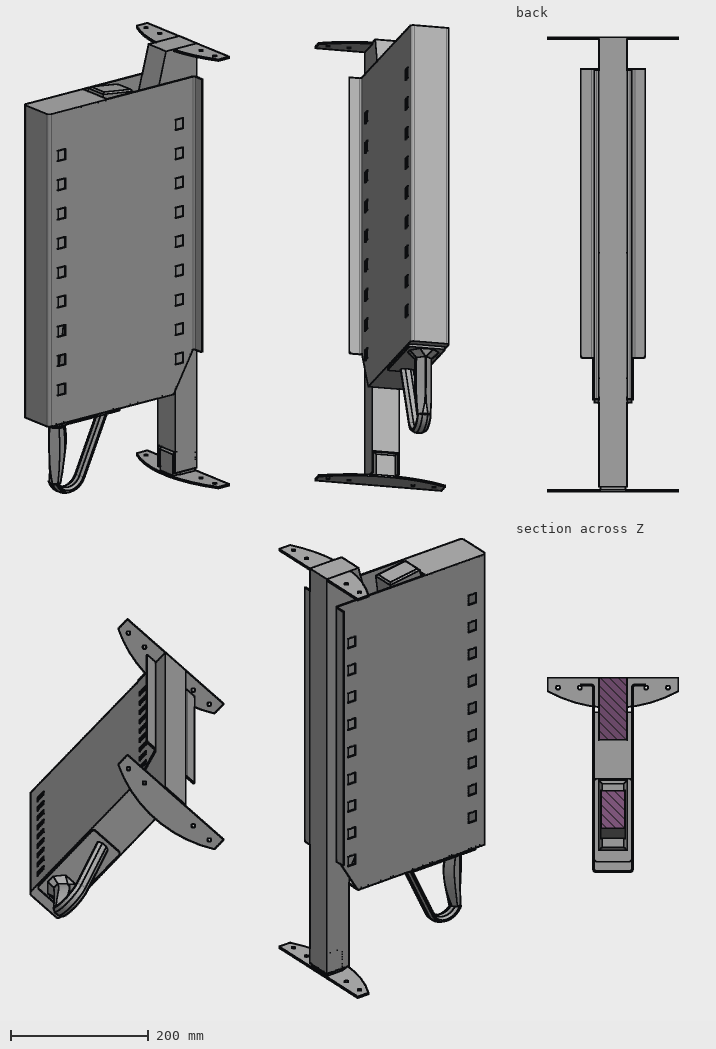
import cadquery as cq
import math

HEIGHT = 660.0
DEPTH = 282.5
SHEET = 2.0
BEND_RADIUS = 4.5

PLATE_WIDTH = 190.0
PLATE_DEPTH = 44.0
PLATE_END_DEPTH = 20.0
PLATE_THICKNESS = 2.5
PLATE_HOLE_DIAMETER = 5.5
PLATE_HOLE_XS = (-80.0, -48.0, 48.0, 80.0)
PLATE_HOLE_Y = -14.5

POST_WIDTH = 41.0
POST_DEPTH = 40.0
POST_BOTTOM = 7.0
POST_WALL = 2.0
POST_RISE = 0.1
GUSSET_TOP_DEPTH = 57.5
GUSSET_TIP_DEPTH = 141.0
GUSSET_BOTTOM = 165.0
GUSSET_ANGLE = 15.0

PLUG_TOP = 39.5
PLUG_TOP_CHAMFER = 4.5
PLUG_SIDE_BEVEL = 4.0
PLUG_SIDE_BEVEL_DEPTH = 11.0

HOUSING_WIDTH = 58.0
HOUSING_BOTTOM = 133.0
HOUSING_TOP = 614.0
HOUSING_BACK = 10.0
FLANGE_WIDTH = 94.0
FLANGE_BOTTOM = 194.0
FLANGE_CORNER_RADIUS = 3.0
FLOOR_BACK = 50.0
ROOF_BACK = 173.0
WINDOW_DEPTH = 14.0
WINDOW_HEIGHT = 16.0
WINDOW_DISTANCES = (39.0, 258.0)
WINDOW_COUNT = 9
LOWEST_WINDOW = 186.0
HIGHEST_WINDOW = 546.5

BASE_WIDTH = 54.0
BASE_BACK = 146.5
BASE_FRONT = 267.0
BASE_BOTTOM = 129.5
BASE_TOP = HOUSING_BOTTOM + SHEET
BASE_CORNER_RADIUS = 4.0
CASE_WIDTH = 35.0
CASE_THICKNESS = 55.0
CASE_TOP_FRONT = 171.0
CASE_TOP = 620.5
CASE_ANGLE = GUSSET_ANGLE / 2
CASE_CHAMFER = 2.5
COLLAR_WIDTH = 41.0
COLLAR_BACK = 149.0
COLLAR_FRONT = 251.0
COLLAR_TOP = 148.5
COLLAR_TAPER = 20.0

SIDE_FACET_RATIO = 0.3
STRAP_WIDTH = 19.0
STRAP_THICKNESS = 8.5
STRAP_FACET = 8.0
STRAP_TOP_DISTANCE = 156.5
STRAP_BEND_DISTANCE = 201.0
STRAP_END_DISTANCE = 251.0
STRAP_BEND_Z = 33.5
GRIP_WIDTH = 22.5
RIDGE_FACET = 1.0
GRIP_DISTANCE = 244.0
GRIP_TOP = 119.5
GRIP_TOP_THICKNESS = 28.0
GRIP_BULGE_DISTANCE = 243.0
GRIP_BULGE_Z = 96.0
GRIP_BULGE_THICKNESS = 32.0
GRIP_LOWER_DISTANCE = 245.0
GRIP_LOWER_Z = 57.5
GRIP_LOWER_THICKNESS = 24.5
GRIP_END_DISTANCE = 247.5
GRIP_END_THICKNESS = 16.0
FLARE_WIDTH = 43.5
FLARE_THICKNESS = 38.0
FLARE_FACET = 20.0


def mounting_plate(bottom):
    """Flat plate with a straight rear edge, a bowed front edge and four screw holes."""
    half = PLATE_WIDTH / 2
    return (
        cq.Workplane("XY").workplane(offset=bottom)
        .moveTo(-half, 0)
        .lineTo(-half, -PLATE_END_DEPTH)
        .threePointArc((0, -PLATE_DEPTH), (half, -PLATE_END_DEPTH))
        .lineTo(half, 0)
        .close()
        .extrude(PLATE_THICKNESS)
        .pushPoints([(x, PLATE_HOLE_Y) for x in PLATE_HOLE_XS])
        .circle(PLATE_HOLE_DIAMETER / 2)
        .cutThruAll()
    )


def side_profile(width):
    """A workplane seen from +X, (y, z), whose extrusions are centred on X = 0."""
    return cq.Workplane("YZ").workplane(offset=-width / 2)


def foot_plug():
    """Block that fits the socket of the post, with bevelled front edges."""
    half = POST_WIDTH / 2 - POST_WALL
    bevel_start = -(POST_DEPTH - PLUG_SIDE_BEVEL_DEPTH)
    front_half = half - PLUG_SIDE_BEVEL
    return (
        cq.Workplane("XY").workplane(offset=PLATE_THICKNESS)
        .polyline([
            (-half, -POST_WALL),
            (-half, bevel_start),
            (-front_half, -POST_DEPTH),
            (front_half, -POST_DEPTH),
            (half, bevel_start),
            (half, -POST_WALL),
        ])
        .close()
        .extrude(PLUG_TOP - PLATE_THICKNESS)
        .faces("<Y").edges(">Z").chamfer(PLUG_TOP_CHAMFER)
    )


def build_foot():
    """Floor plate with its plug."""
    return mounting_plate(0).union(foot_plug())


def build_post():
    """Column with a front gusset, an open socket at its lower end and a top plate."""
    gusset_slope = math.tan(math.radians(GUSSET_ANGLE))
    tip_z = HEIGHT - (GUSSET_TIP_DEPTH - GUSSET_TOP_DEPTH) / gusset_slope
    column = (
        side_profile(POST_WIDTH)
        .polyline([
            (0, POST_BOTTOM),
            (0, HEIGHT),
            (-GUSSET_TOP_DEPTH, HEIGHT),
            (-GUSSET_TIP_DEPTH, tip_z),
            (-POST_DEPTH, GUSSET_BOTTOM),
            (-POST_DEPTH, POST_BOTTOM),
        ])
        .close()
        .extrude(POST_WIDTH)
    )
    socket = cq.Workplane("XY").box(
        POST_WIDTH - 2 * POST_WALL, POST_DEPTH - POST_WALL, PLUG_TOP, centered=(True, False, False)
    ).translate((0, -POST_DEPTH, 0))
    return column.cut(socket).union(mounting_plate(HEIGHT - POST_RISE - PLATE_THICKNESS))


def base_plate_block(bottom, top):
    """Outline of the base plate between two heights."""
    length = BASE_FRONT - BASE_BACK
    return (
        cq.Workplane("XY")
        .box(BASE_WIDTH, length, top - bottom, centered=(True, False, False))
        .edges("|Z").fillet(BASE_CORNER_RADIUS)
        .translate((0, -BASE_FRONT, bottom))
    )


def housing_wrapper():
    """Bent sheet: front wall, two side walls and two rear flanges, before trimming."""
    outer = HOUSING_WIDTH / 2
    inner = outer - SHEET
    flange = FLANGE_WIDTH / 2
    flange_front = -(HOUSING_BACK + SHEET)
    right_half = [
        (inner, -(DEPTH - SHEET)),
        (inner, -HOUSING_BACK),
        (flange, -HOUSING_BACK),
        (flange, flange_front),
        (outer, flange_front),
        (outer, -DEPTH),
    ]
    left_half = [(-x, y) for x, y in reversed(right_half)]
    sheet = (
        cq.Workplane("XY").workplane(offset=HOUSING_BOTTOM)
        .polyline(right_half + left_half).close()
        .extrude(HOUSING_TOP - HOUSING_BOTTOM)
    )
    middle = (HOUSING_BOTTOM + HOUSING_TOP) / 2
    bends = (
        (outer, -DEPTH, BEND_RADIUS),
        (inner, -(DEPTH - SHEET), BEND_RADIUS - SHEET),
        (outer, flange_front, BEND_RADIUS - SHEET),
        (inner, -HOUSING_BACK, BEND_RADIUS),
    )
    for x, y, radius in bends:
        for side in (-1, 1):
            edge = cq.selectors.NearestToPointSelector((side * x, y, middle))
            sheet = sheet.edges(edge).fillet(radius)
    return sheet


def lower_rear_trim():
    """Material removed below the flanges, up to the slanted lower edge of the side walls."""
    bend_front = -(HOUSING_BACK + BEND_RADIUS)
    return (
        side_profile(PLATE_WIDTH)
        .polyline([
            (0, HOUSING_BOTTOM),
            (0, FLANGE_BOTTOM),
            (bend_front, FLANGE_BOTTOM),
            (-FLOOR_BACK, HOUSING_BOTTOM),
        ])
        .close()
        .extrude(PLATE_WIDTH)
    )


def housing_cover(back, bottom):
    """Flat sheet between the side walls, from the front wall to a distance from the rear plane."""
    front = DEPTH - SHEET
    return (
        cq.Workplane("XY")
        .box(HOUSING_WIDTH - 2 * SHEET, front - back, SHEET, centered=(True, False, False))
        .edges("|Z and <Y").fillet(BEND_RADIUS - SHEET)
        .translate((0, -front, bottom))
    )


def housing_windows():
    """Two columns of rectangular windows through both side walls."""
    pitch = (HIGHEST_WINDOW - LOWEST_WINDOW) / (WINDOW_COUNT - 1)
    return (
        side_profile(HOUSING_WIDTH)
        .pushPoints([
            (-distance, LOWEST_WINDOW + row * pitch)
            for distance in WINDOW_DISTANCES
            for row in range(WINDOW_COUNT)
        ])
        .rect(WINDOW_DEPTH, WINDOW_HEIGHT)
        .extrude(HOUSING_WIDTH)
    )


def build_housing():
    """Sheet metal housing with its floor, partial roof and windows."""
    wrapper = housing_wrapper().cut(lower_rear_trim())
    flange_corners = cq.selectors.BoxSelector(
        (-FLANGE_WIDTH, -HOUSING_BACK - SHEET, FLANGE_BOTTOM - SHEET),
        (FLANGE_WIDTH, -HOUSING_BACK, FLANGE_BOTTOM + SHEET),
    )
    wrapper = wrapper.edges("|Y").edges(flange_corners).edges("<X or >X").fillet(FLANGE_CORNER_RADIUS)
    floor = housing_cover(FLOOR_BACK, HOUSING_BOTTOM)
    roof = housing_cover(ROOF_BACK, HOUSING_TOP - SHEET)
    base_opening = base_plate_block(HOUSING_BOTTOM, BASE_TOP)
    return wrapper.union(floor.cut(base_opening)).union(roof).cut(housing_windows())


def inclined_case():
    """Slim box whose axis leans forward on the way down to the base plate."""
    length = (CASE_TOP - BASE_BOTTOM) / math.cos(math.radians(CASE_ANGLE)) + CASE_THICKNESS
    box = (
        cq.Workplane("XY")
        .box(CASE_WIDTH, CASE_THICKNESS, length, centered=(True, False, False))
        .translate((0, 0, -length))
        .faces(">Z").edges().chamfer(CASE_CHAMFER)
        .rotate((0, 0, 0), (1, 0, 0), -CASE_ANGLE)
        .translate((0, -CASE_TOP_FRONT, CASE_TOP))
    )
    room_above_base = cq.Workplane("XY").box(
        HOUSING_WIDTH, 2 * DEPTH, HEIGHT, centered=(True, True, False)
    ).translate((0, 0, BASE_TOP))
    return box.intersect(room_above_base)


def case_collar():
    """Tapered collar round the lower end of the case, standing on the base plate."""
    return (
        cq.Workplane("XY").workplane(offset=BASE_TOP)
        .center(0, -(COLLAR_BACK + COLLAR_FRONT) / 2)
        .rect(COLLAR_WIDTH, COLLAR_FRONT - COLLAR_BACK)
        .extrude(COLLAR_TOP - BASE_TOP, taper=COLLAR_TAPER)
    )


def bevelled_section(width, thickness, facet):
    """Corner points of an octagon: flat facets front and rear, narrower than the full width."""
    half_width = width / 2
    half_facet = facet / 2
    half_side = thickness * SIDE_FACET_RATIO / 2
    half_thickness = thickness / 2
    front_and_right = [
        (-half_facet, -half_thickness),
        (half_facet, -half_thickness),
        (half_width, -half_side),
        (half_width, half_side),
    ]
    return front_and_right + [(-x, -y) for x, y in front_and_right]


def handle_section(distance, z, width, thickness, facet):
    """Horizontal octagonal wire of the handle, centred at a distance from the rear plane."""
    points = [(x, y - distance, z) for x, y in bevelled_section(width, thickness, facet)]
    return cq.Wire.makePolygon([cq.Vector(*point) for point in points], close=True)


def strap():
    """Flat bar that runs down from the base plate and hooks round to the lower end of the grip."""
    start = (-STRAP_TOP_DISTANCE, BASE_BOTTOM)
    bend = (-STRAP_BEND_DISTANCE, STRAP_BEND_Z)
    end = (-STRAP_END_DISTANCE, STRAP_BEND_Z)
    path = cq.Workplane("YZ").moveTo(*start).lineTo(*bend).tangentArcPoint(end, relative=False)
    direction = (0, bend[0] - start[0], bend[1] - start[1])
    section_plane = cq.Plane(origin=(0, *start), xDir=(1, 0, 0), normal=direction)
    return (
        cq.Workplane(section_plane)
        .polyline(bevelled_section(STRAP_WIDTH, STRAP_THICKNESS, STRAP_FACET)).close()
        .sweep(path)
    )


def grip():
    """Bulged grip that narrows downward into the strap."""
    sections = [
        handle_section(GRIP_DISTANCE, GRIP_TOP, GRIP_WIDTH, GRIP_TOP_THICKNESS, RIDGE_FACET),
        handle_section(GRIP_BULGE_DISTANCE, GRIP_BULGE_Z, GRIP_WIDTH, GRIP_BULGE_THICKNESS, RIDGE_FACET),
        handle_section(GRIP_LOWER_DISTANCE, GRIP_LOWER_Z, GRIP_WIDTH, GRIP_LOWER_THICKNESS, RIDGE_FACET),
        handle_section(GRIP_END_DISTANCE, STRAP_BEND_Z, STRAP_WIDTH, GRIP_END_THICKNESS, STRAP_FACET),
    ]
    return cq.Workplane(cq.Solid.makeLoft(sections, False))


def grip_flare():
    """Flared root that joins the grip to the base plate."""
    sections = [
        handle_section(GRIP_DISTANCE, BASE_BOTTOM, FLARE_WIDTH, FLARE_THICKNESS, FLARE_FACET),
        handle_section(GRIP_DISTANCE, GRIP_TOP, GRIP_WIDTH, GRIP_TOP_THICKNESS, RIDGE_FACET),
    ]
    return cq.Workplane(cq.Solid.makeLoft(sections, True))


def build_handle_unit():
    """Base plate seated in the housing floor, with the case above it and the handle below it."""
    unit = base_plate_block(BASE_BOTTOM, BASE_TOP)
    for piece in (inclined_case(), case_collar(), strap(), grip(), grip_flare()):
        unit = unit.union(piece)
    return unit


foot = build_foot()
post = build_post()
housing = build_housing()
handle_unit = build_handle_unit()

result = cq.Compound.makeCompound([
    *foot.solids().vals(),
    *post.solids().vals(),
    *housing.solids().vals(),
    *handle_unit.solids().vals(),
])